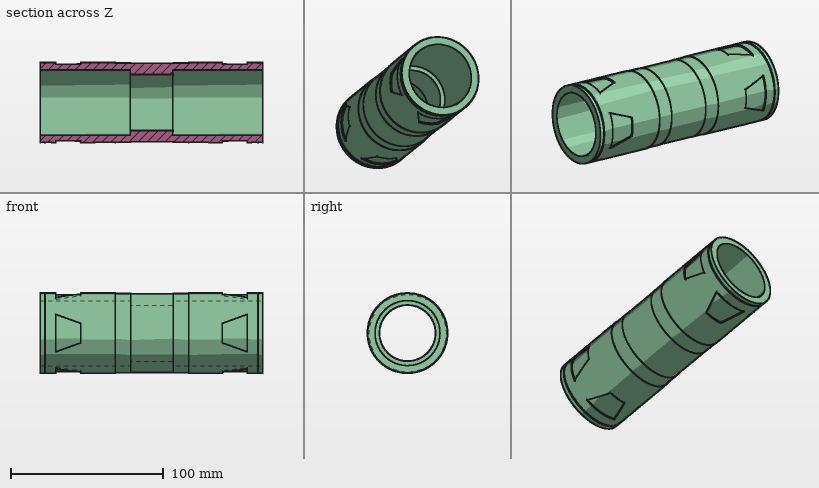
import cadquery as cq

length = 145.5
outer_diameter = 52.5

socket_diameter = 42.5
stop_diameter = 36.5

band_diameter = 52.0
waist_diameter = 51.7
waist_length = 27.8
waist_offset = 0.3
band_width = 10.0
socket_depth = (length - waist_length) / 2

groove_start = 2.9
groove_width = 0.5
groove_diameter = 52.0

recess_start = 10.2
recess_length = 16.3
recess_wide = 24.5
recess_narrow = 12.8
recess_floor_diameter = 50.5
recess_count = 4


def disc(diameter, start, width):
    """Solid cylinder along X whose first face lies at x = start."""
    return cq.Workplane("YZ").workplane(offset=start).circle(diameter / 2).extrude(width)


def ring(inner_diameter, start, width):
    """Cutter removing the outer skin down to inner_diameter."""
    return disc(outer_diameter + 1.5, start, width).cut(disc(inner_diameter, start, width))


def end_recess():
    """Upper grip recess at the -X end, with a cylindrical floor."""
    wide_x = -length / 2 + recess_start
    narrow_x = wide_x + recess_length
    prism = (
        cq.Workplane("XY")
        .polyline([
            (wide_x, -recess_wide / 2),
            (narrow_x, -recess_narrow / 2),
            (narrow_x, recess_narrow / 2),
            (wide_x, recess_wide / 2),
        ])
        .close()
        .extrude(outer_diameter)
    )
    return prism.cut(disc(recess_floor_diameter, -length / 2, length))


def end_details(body):
    """Cut the socket, groove and grip recesses of the -X half."""
    end = -length / 2
    body = body.cut(disc(socket_diameter, end, socket_depth))
    body = body.cut(ring(groove_diameter, end + groove_start, groove_width))
    recess = end_recess()
    for index in range(recess_count):
        angle = index * 360.0 / recess_count
        body = body.cut(recess.rotate((0, 0, 0), (1, 0, 0), angle))
    return body


half_sleeve = disc(outer_diameter, -length / 2, length / 2)
half_sleeve = half_sleeve.cut(disc(stop_diameter, -length / 2, length / 2))
half_sleeve = end_details(half_sleeve)
sleeve = half_sleeve.union(half_sleeve.mirror("YZ"))

waist_start = waist_offset - waist_length / 2
waist_end = waist_start + waist_length
sleeve = sleeve.cut(ring(waist_diameter, waist_start, waist_length))
for band_start in (waist_start - band_width, waist_end):
    sleeve = sleeve.cut(ring(band_diameter, band_start, band_width))

result = sleeve.clean()